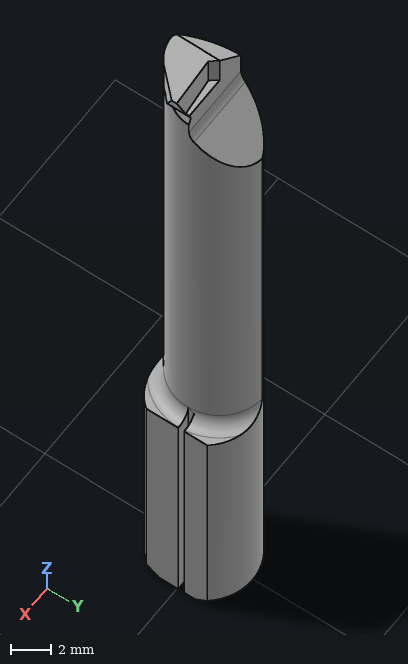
import cadquery as cq
import math

length = 45.0
shank_diameter = 6.0
shank_radius = shank_diameter / 2
flat_x = 2.35
chamfer_height = 0.55
chamfer_width = 0.4
clearance = 9.0

neck_x = -1.3
neck_radius = 2.8
shoulder_z = 15.0
shoulder_fillet = 0.8

face_y = 0.15
ramp_start_z = 41.4
ramp_radius = 1.1
ramp_angle = 48.0

tip_y = 0.0
tip_bottom_z = 42.5
undercut_x = 1.3
undercut_end_z = 42.08
end_slope = 0.11
bevel_x = -1.15
bevel_side_slope = 0.05
chip_pocket_depth = 1.8
chip_pocket_corner = (-0.8, -0.3)

groove_low_y = 0.1
groove_high_y = 0.45

neck_right_x = neck_x + neck_radius


def end_height(x, y):
    """Height of the sloping end face, which peaks at the cutting point."""
    return length + end_slope * (x - flat_x) + end_slope * (y - tip_y)


def make_shank():
    profile = [
        (0, 0),
        (shank_radius - chamfer_width, 0),
        (shank_radius, chamfer_height),
        (shank_radius, length),
        (0, length),
    ]
    bar = cq.Workplane("XZ").polyline(profile).close().revolve(360, (0, 0), (0, 1))
    beyond_flat = (
        cq.Workplane("XY")
        .box(clearance, 2 * clearance, length, centered=(False, True, False))
        .translate((flat_x, 0, 0))
    )
    return bar.cut(beyond_flat)


def make_neck_cutter():
    """Ring around the neck, rounded where it ends at the shoulder."""
    return (
        cq.Workplane("XZ", origin=(neck_x, 0, 0))
        .moveTo(neck_radius, length)
        .lineTo(neck_radius, shoulder_z + shoulder_fillet)
        .radiusArc((neck_radius + shoulder_fillet, shoulder_z), -shoulder_fillet)
        .lineTo(clearance, shoulder_z)
        .lineTo(clearance, length)
        .close()
        .revolve(360, (0, 0), (0, 1))
    )


def make_tip():
    """Point whose flank leaves the neck along a 45 degree tangent plane."""
    tangent_offset = neck_radius * math.sqrt(0.5)
    tangent_point = (neck_x + tangent_offset, -tangent_offset)
    flank_end_y = tangent_point[1] + flat_x - tangent_point[0]
    return (
        cq.Workplane("XY", origin=(0, 0, tip_bottom_z))
        .moveTo(neck_x, face_y)
        .lineTo(*tangent_point)
        .lineTo(flat_x, flank_end_y)
        .lineTo(flat_x, face_y)
        .close()
        .extrude(length - tip_bottom_z)
    )


def make_undercut():
    outline = [
        (flat_x, length),
        (undercut_x, tip_bottom_z),
        (neck_right_x, undercut_end_z),
        (clearance, undercut_end_z),
        (clearance, length),
    ]
    return cq.Workplane("XZ").polyline(outline).close().extrude(clearance, both=True)


def make_face_cutter():
    """Space in front of the cutting face, with a rounded run into the ramp."""
    angle = math.radians(ramp_angle)
    arc_y = face_y + ramp_radius * (1 - math.sin(angle))
    arc_z = ramp_start_z - ramp_radius * math.cos(angle)
    ramp_drop = (clearance - arc_y) * math.tan(angle)
    return (
        cq.Workplane("YZ")
        .moveTo(face_y, length)
        .lineTo(face_y, ramp_start_z)
        .radiusArc((arc_y, arc_z), -ramp_radius)
        .lineTo(clearance, arc_z - ramp_drop)
        .lineTo(clearance, length)
        .close()
        .extrude(clearance, both=True)
    )


def make_end_cutter():
    end_plane = cq.Plane(
        origin=(flat_x, tip_y, length),
        xDir=(1, 0, end_slope),
        normal=(-end_slope, -end_slope, 1),
    )
    return cq.Workplane(end_plane).rect(2 * clearance, 2 * clearance).extrude(clearance)


def make_bevel_cutter():
    bevel_plane = cq.Plane(
        origin=(bevel_x, face_y, end_height(bevel_x, face_y)),
        xDir=(1, 0, 1),
        normal=(-1, -bevel_side_slope, 1),
    )
    return cq.Workplane(bevel_plane).rect(2 * clearance, 2 * clearance).extrude(clearance)


def make_chip_pocket():
    floor_z = end_height(bevel_x, face_y) - chip_pocket_depth
    return (
        cq.Workplane("XY", origin=(0, 0, floor_z))
        .polyline([(bevel_x, face_y), chip_pocket_corner, (flat_x, tip_y), (flat_x, face_y)])
        .close()
        .extrude(length - floor_z)
    )


def make_groove():
    """Groove running up from the base to below the cutting tip."""
    return (
        cq.Workplane("XY")
        .box(clearance, groove_high_y - groove_low_y, undercut_end_z, centered=False)
        .translate((neck_right_x, groove_low_y, 0))
    )


result = make_shank().cut(make_neck_cutter())
result = result.union(make_tip())
for cutter in (
    make_undercut(),
    make_face_cutter(),
    make_end_cutter(),
    make_bevel_cutter(),
    make_chip_pocket(),
    make_groove(),
):
    result = result.cut(cutter)